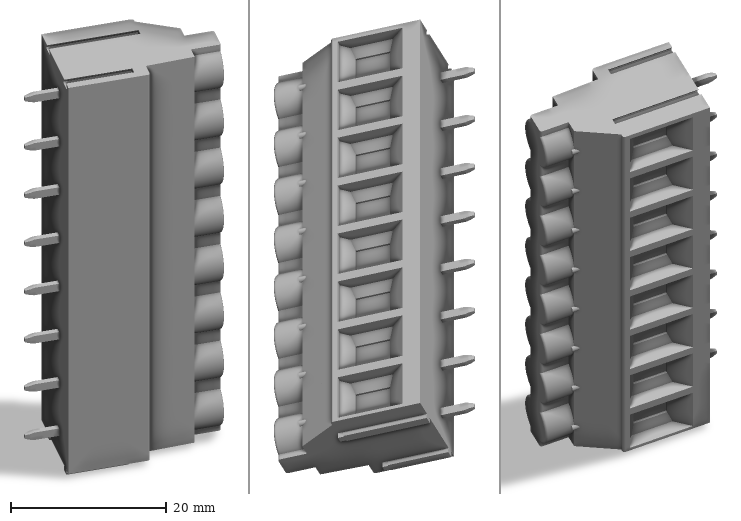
import cadquery as cq


total_height = 61.55
rail_height = 0.75
body_height = total_height - rail_height
pole_count = 8
pole_pitch = body_height / pole_count
lowest_pole_z = 4.45
pole_heights = [lowest_pole_z + i * pole_pitch for i in range(pole_count)]

body_width = 12.5
body_depth = 21.55
left_shoulder_y = 12.3
left_shoulder_width = 0.6
left_corner_radius = 0.4
right_shoulder_y = 10.95
right_corner_radius = 0.3
waist_x = 10.5
deck_y = 17.55
deck_left_x = 3.7
deck_right_x = 10.3

tower_radius = (deck_right_x - deck_left_x) / 2
tower_x = (deck_left_x + deck_right_x) / 2
tower_wall_width = 3.2
tower_edge_radius = 0.3

stud_radius = 0.45
stud_x = 3.75
stud_top_y = 17.9
stud_length = 2.45

entry_height = 6.4
entry_front_y = 2.4
entry_back_y = 11.3
entry_floor_height = 3.3
entry_floor_front_y = 5.0
entry_floor_back_y = 9.7
entry_straight_depth = 0.85
entry_side_depth = 1.85
entry_floor_depth = 2.35
entry_recess_depth = 2.65

pin_x = 7.9
pin_width = 0.75
pin_height = 1.2
pin_length = 4.55
pin_root = 0.6
pin_tip_width = 0.45
pin_tip_height = 0.55
pin_width_taper = 0.7
pin_height_taper = 1.25

left_dovetail_x = 3.0
left_dovetail_length = 12.25
right_dovetail_x = 11.0
right_dovetail_length = 9.1
dovetails = [(left_dovetail_x, left_dovetail_length), (right_dovetail_x, right_dovetail_length)]
dovetail_neck = 0.85
dovetail_waist = 1.35
dovetail_base = 1.2
dovetail_waist_height = 0.45
groove_clearance = 0.09
rail_lead = 0.8


def fillet_corner(body, x, y, radius):
    corner = cq.selectors.NearestToPointSelector((x, y, rail_height + body_height / 2))
    return body.edges(corner).fillet(radius)


def make_body():
    profile = (
        cq.Workplane("XY", origin=(0, 0, rail_height))
        .polyline([
            (0, 0),
            (body_width, 0),
            (body_width, right_shoulder_y),
            (waist_x, right_shoulder_y),
            (deck_right_x, deck_y),
            (deck_left_x, deck_y),
            (left_shoulder_width, left_shoulder_y),
            (0, left_shoulder_y),
        ])
        .close()
    )
    body = profile.extrude(body_height)
    body = fillet_corner(body, 0, left_shoulder_y, left_corner_radius)
    return fillet_corner(body, body_width, right_shoulder_y, right_corner_radius)


def make_towers():
    tower_height = body_depth - deck_y
    towers = cq.Workplane("XY").box(
        tower_wall_width, tower_height, body_height, centered=(True, False, False)
    )
    towers = towers.translate((tower_x, deck_y, rail_height))
    towers = towers.faces(">Y").edges("|Z").fillet(tower_edge_radius)
    for z in pole_heights:
        tower = cq.Workplane("XZ", origin=(tower_x, deck_y, z)).circle(tower_radius).extrude(-tower_height)
        towers = towers.union(tower.faces(">Y").edges().fillet(tower_edge_radius))
    return towers


def make_stud(z):
    return cq.Workplane("XZ", origin=(stud_x, stud_top_y, z)).circle(stud_radius).extrude(stud_length)


def make_entry(z):
    """Wire funnel that narrows to a smaller recess.

    Its front wall slopes from the mouth; the other walls run straight before sloping.
    """
    plan = (
        cq.Workplane("XY", origin=(0, 0, z))
        .polyline([
            (0, entry_front_y),
            (entry_floor_depth, entry_floor_front_y),
            (entry_floor_depth, entry_floor_back_y),
            (entry_straight_depth, entry_back_y),
            (0, entry_back_y),
        ])
        .close()
        .extrude(entry_height / 2, both=True)
    )
    elevation = (
        cq.Workplane("XZ", origin=(0, 0, z))
        .polyline([
            (0, -entry_height / 2),
            (entry_side_depth, -entry_height / 2),
            (entry_floor_depth, -entry_floor_height / 2),
            (entry_floor_depth, entry_floor_height / 2),
            (entry_side_depth, entry_height / 2),
            (0, entry_height / 2),
        ])
        .close()
        .extrude(-body_depth)
    )
    recess = cq.Workplane("XY").box(
        entry_recess_depth,
        entry_floor_back_y - entry_floor_front_y,
        entry_floor_height,
        centered=(False, False, True),
    )
    return plan.intersect(elevation).union(recess.translate((0, entry_floor_front_y, z)))


def pin_outline(workplane, width, tip_width, taper_length):
    return (
        workplane.polyline([
            (-width / 2, pin_root),
            (-width / 2, taper_length - pin_length),
            (-tip_width / 2, -pin_length),
            (tip_width / 2, -pin_length),
            (width / 2, taper_length - pin_length),
            (width / 2, pin_root),
        ])
        .close()
    )


def make_pin(z):
    across_x = pin_outline(cq.Workplane("XY"), pin_width, pin_tip_width, pin_width_taper)
    across_z = pin_outline(
        cq.Workplane(cq.Plane((0, 0, 0), xDir=(0, 0, 1), normal=(-1, 0, 0))),
        pin_height,
        pin_tip_height,
        pin_height_taper,
    )
    pin = across_x.extrude(pin_height, both=True).intersect(across_z.extrude(pin_width, both=True))
    return pin.translate((pin_x, 0, z))


def make_dovetail(x, length, root_z, clearance=0):
    """Bar hanging below root_z: narrow neck, wide waist, slightly narrower base."""
    right_side = [
        (dovetail_neck / 2, 0),
        (dovetail_waist / 2 + clearance, -dovetail_waist_height - clearance),
        (dovetail_base / 2 + clearance, -rail_height),
    ]
    left_side = [(-px, pz) for px, pz in reversed(right_side)]
    outline = cq.Workplane("XZ", origin=(x, 0, root_z)).polyline(right_side + left_side).close()
    return outline.extrude(-length)


def make_rail(x, length):
    rail = make_dovetail(x, length - rail_lead, rail_height)
    lead = cq.Workplane("XY").box(dovetail_neck, length, rail_height, centered=(True, False, False))
    return rail.union(lead.translate((x, 0, 0)))


result = make_body().union(make_towers())
for pole_z in pole_heights:
    result = result.union(make_stud(pole_z)).cut(make_entry(pole_z)).union(make_pin(pole_z))
for rail_x, rail_length in dovetails:
    groove = make_dovetail(rail_x, rail_length, total_height, groove_clearance)
    result = result.cut(groove).union(make_rail(rail_x, rail_length))